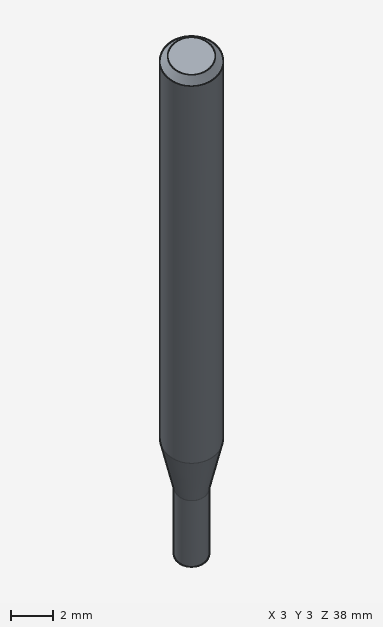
import cadquery as cq

total_length = 38.0
shank_diameter = 3.0
tip_diameter = 1.7

tip_length = 5.1
taper_length = 3.7

bevel_width = 0.38
bevel_height = 0.38

shank_radius = shank_diameter / 2
tip_radius = tip_diameter / 2
shank_start = tip_length + taper_length

half_section = (
    cq.Workplane("XZ")
    .moveTo(0, 0)
    .lineTo(-tip_radius, 0)
    .lineTo(-tip_radius, tip_length)
    .lineTo(-shank_radius, shank_start)
    .lineTo(-shank_radius, total_length - bevel_height)
    .lineTo(-(shank_radius - bevel_width), total_length)
    .lineTo(0, total_length)
    .close()
)

result = half_section.revolve(360, (0, 0, 0), (0, 1, 0))